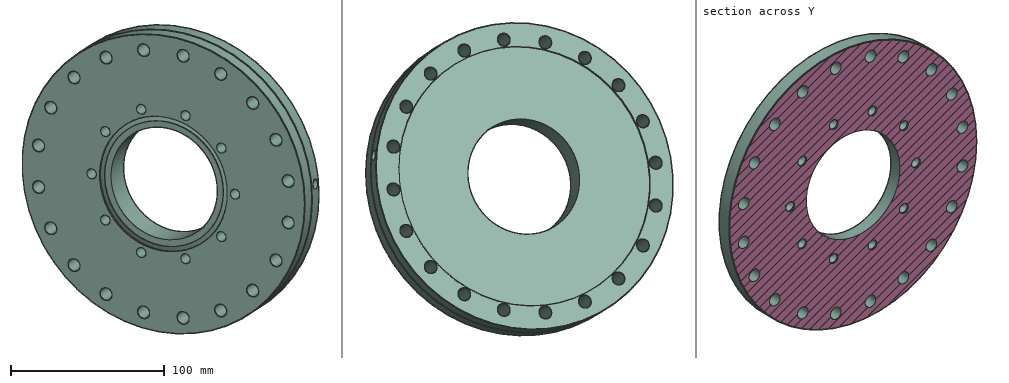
import cadquery as cq
import math

outer_diameter = 203
thickness = 22.3
bore_diameter = 76.1
rim_chamfer = 0.5

recess_diameter = 91.5
knife_diameter = 85.0
recess_depth = 1.6
knife_depth = 0.6
ledge_depth = 1.2

rear_recess_diameter = 171.3
rear_recess_depth = 1.6

bolt_count = 20
bolt_diameter = 8.3
bolt_chamfer = 0.2
bolt_circle_radius = 90.5

drill_count = 10
drill_diameter = 6.7
drill_circle_radius = 51.4
drill_depth = 12.2
drill_tip_angle = 118

port_diameter = 6.7
port_depth = 6
port_angle = 5

outer_radius = outer_diameter / 2
drill_radius = drill_diameter / 2
half_thickness = thickness / 2
front_y = -half_thickness
port_y = half_thickness / 2


def turned(profile):
    """Revolve a closed (radius, y) profile about the Y axis."""
    return cq.Workplane("XY").polyline(profile).close().revolve(360, (0, 0, 0), (0, 1, 0))


def half_disc(start_y):
    """One half of the disc, with both rim edges chamfered."""
    disc = cq.Workplane("XZ", origin=(0, start_y, 0)).circle(outer_radius).extrude(-half_thickness)
    return disc.edges().chamfer(rim_chamfer)


def ring_of(tool, count, radius, start_angle):
    """Copies of a tool on the Y axis, evenly spaced on a circle about that axis."""
    copies = cq.Workplane("XY")
    for index in range(count):
        angle = start_angle + index * 360 / count
        copies = copies.add(tool.translate((radius, 0, 0)).rotate((0, 0, 0), (0, 1, 0), angle))
    return copies.combine()


def seal_recess():
    """Front-face recess: a cone rises from the outer wall to a knife edge, then drops to a flat ledge."""
    recess_radius = recess_diameter / 2
    knife_radius = knife_diameter / 2
    return turned([
        (0, front_y),
        (recess_radius, front_y),
        (recess_radius, front_y + recess_depth),
        (knife_radius, front_y + knife_depth),
        (knife_radius, front_y + ledge_depth),
        (0, front_y + ledge_depth),
    ])


def rear_recess():
    """Flat-bottomed recess in the rear face."""
    rear_face = cq.Workplane("XZ", origin=(0, half_thickness, 0))
    return rear_face.circle(rear_recess_diameter / 2).extrude(rear_recess_depth)


def bolt_hole():
    """Through hole with a chamfer at both ends."""
    bolt_radius = bolt_diameter / 2
    mouth_radius = bolt_radius + bolt_chamfer
    return turned([
        (0, -half_thickness),
        (mouth_radius, -half_thickness),
        (bolt_radius, -half_thickness + bolt_chamfer),
        (bolt_radius, half_thickness - bolt_chamfer),
        (mouth_radius, half_thickness),
        (0, half_thickness),
    ])


def drilled_hole():
    """Blind hole from the front face with a conical bottom."""
    tip_length = drill_radius / math.tan(math.radians(drill_tip_angle / 2))
    return turned([
        (0, front_y),
        (drill_radius, front_y),
        (drill_radius, front_y + drill_depth),
        (0, front_y + drill_depth + tip_length),
    ])


def rim_port():
    """Blind radial hole from the rim toward the axis."""
    rim = cq.Workplane("YZ", origin=(outer_radius, port_y, 0))
    port = rim.circle(port_diameter / 2).extrude(-port_depth)
    return port.rotate((0, 0, 0), (0, 1, 0), -port_angle)


bore = cq.Workplane("XZ").circle(bore_diameter / 2).extrude(half_thickness, both=True)

result = half_disc(front_y).union(half_disc(0))
result = result.cut(bore)
result = result.cut(seal_recess())
result = result.cut(rear_recess())
result = result.cut(ring_of(bolt_hole(), bolt_count, bolt_circle_radius, 180 / bolt_count))
result = result.cut(ring_of(drilled_hole(), drill_count, drill_circle_radius, 0))
result = result.cut(rim_port())